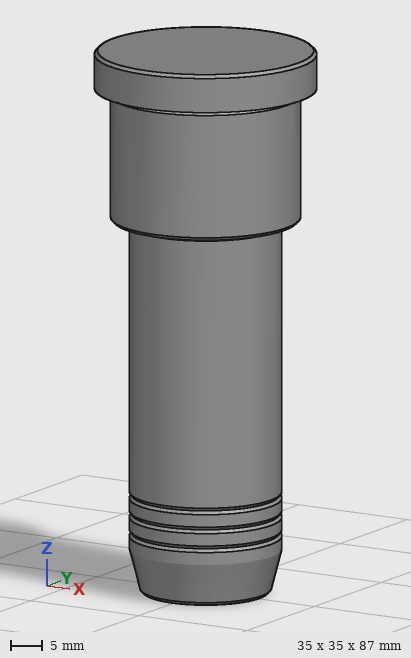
import cadquery as cq

total_height = 87.0
flange_height = 6.0
shoulder_bottom = 59.8
tip_height = 7.0

flange_radius = 17.5
shoulder_radius = 15.0
shank_radius = 12.0
tip_radius = 10.35

edge_chamfer = 0.5
relief_width = 1.05
relief_depth = 0.4
neck_height = 0.7

groove_count = 3
groove_width = 1.05
groove_depth = 0.4
land_width = 2.0

flange_bottom = total_height - flange_height


def cylinder(radius, bottom, top):
    """Solid cylinder on the Z axis between two heights."""
    return cq.Workplane("XY").workplane(offset=bottom).circle(radius).extrude(top - bottom)


def v_groove(radius, bottom, width, depth):
    """V-shaped ring cutter for a cylinder of the given radius."""
    return (
        cq.Workplane("XZ")
        .moveTo(radius, bottom)
        .lineTo(radius - depth, bottom + width / 2)
        .lineTo(radius, bottom + width)
        .close()
        .revolve(360, (0, 0, 0), (0, 1, 0))
    )


def tapered_tip():
    """Conical lead-in taper with a chamfered end."""
    return (
        cq.Workplane("XZ")
        .moveTo(0, 0)
        .lineTo(tip_radius - edge_chamfer, 0)
        .lineTo(tip_radius, edge_chamfer)
        .lineTo(shank_radius, tip_height)
        .lineTo(0, tip_height)
        .close()
        .revolve(360, (0, 0, 0), (0, 1, 0))
    )


flange = cylinder(flange_radius, flange_bottom, total_height).faces(">Z").chamfer(edge_chamfer)
shoulder = cylinder(shoulder_radius, shoulder_bottom, flange_bottom).faces("<Z").chamfer(edge_chamfer)
shoulder = shoulder.cut(
    v_groove(shoulder_radius, flange_bottom - relief_width, relief_width, relief_depth)
)

neck_bottom = shoulder_bottom - neck_height
neck = cylinder(shank_radius - relief_depth, neck_bottom, shoulder_bottom)
shank = cylinder(shank_radius, tip_height, neck_bottom)
for index in range(groove_count):
    groove_bottom = tip_height + land_width + index * (groove_width + land_width)
    shank = shank.cut(v_groove(shank_radius, groove_bottom, groove_width, groove_depth))

result = flange.union(shoulder).union(neck).union(shank).union(tapered_tip())